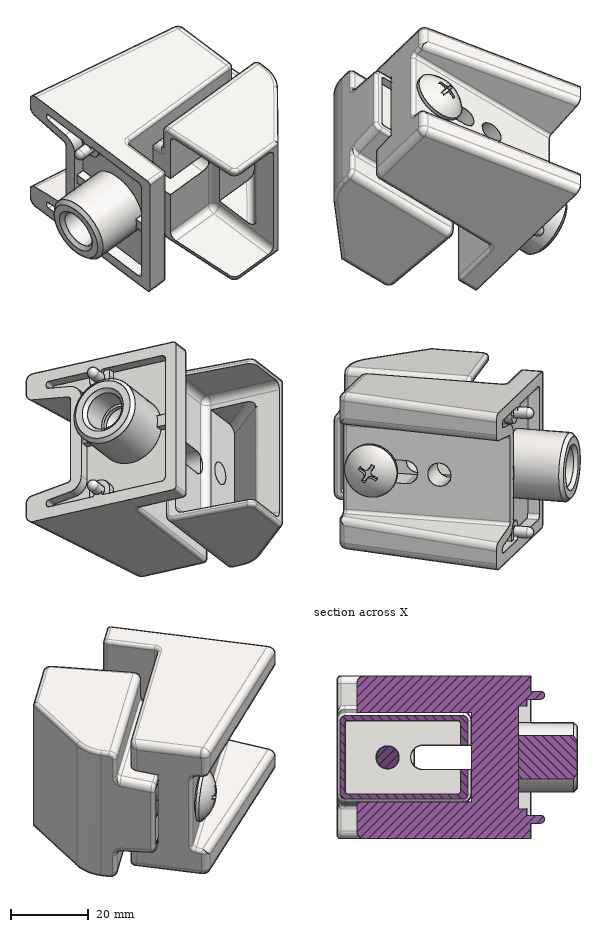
import cadquery as cq
import math


height = 42.0
half_height = height / 2
small_round = 1.0
large_round = 2.0
wall = 3.15
face_margin = 0.05
overcut = 3.1

body_depth = 44.9
body_right = 0.5
front_left = -29.0
rear_left = -20.0
foot_right = 15.0
foot_depth = 6.0
bay_floor = -16.0
bay_half = 12.0
bay_slope = math.tan(math.radians(8))
recess_depth = 3.15
recess_tip = -23.1
recess_corner = 1.25
recess_bend = 3.9
tip_round = 0.85
leg_wall = 2.9
rib_width = 3.15
rib_drop = 1.0

leg_x = (front_left + rear_left) / 2

pin_x = -8.0
pin_z = 16.0
pin_radius = 1.5
pin_length = 4.0
boss_radius = 3.0
pin_neck_round = 0.6

hole_radius = 3.1
hole_y = 19.0
slot_front_y = 27.9
screw_y = 36.95

jaw_left = 3.0
jaw_right = 27.95
jaw_rear = 50.0
jaw_slant_end = 33.6
jaw_slant_start = 11.05
jaw_nose_round = 10.0
jaw_front_left = 16.05
jaw_front_right = 17.9
jaw_front_slope = (jaw_front_right - jaw_front_left) / (jaw_right - jaw_left)
flange = 1.7
plate = 3.0
web_front = 32.0
pocket_half = 16.0
pocket_right = 21.0
tongue_left = -7.0
tongue_half_tip = 11.5
tongue_half_root = 12.45
tongue_rim = 2.05
tongue_recess = 2.0
tongue_window_half = tongue_half_tip - tongue_rim

inner_left = jaw_left + plate
web_left = inner_left + large_round
window_rim = 2.1
window_corner = 0.6

head_radius = 7.0
dome_height = 3.1
head_edge = 0.85
shoulder_radius = 5.1
shoulder_length = 0.6
shank_radius = 3.0
cross_length = 5.35
cross_width = 0.85
cross_depth = 1.55
cross_round = 0.9
cross_turn = 30

bushing_radius = 9.0
bushing_projection = 12.0
thread_radius = 5.0
thread_depth = 8.7
drill_radius = 4.35
drill_depth = 9.9
drill_half_angle = math.radians(59)


def prism_along_y(outline, front, rear):
    """Sweep a closed XZ outline from Y = front to Y = rear."""
    return outline.extrude(front - rear).translate((0, front, 0))


def prism_along_z(corners, half):
    """Sweep an XY polygon from Z = -half to Z = half."""
    return cq.Workplane("XY").polyline(corners).close().extrude(half, both=True)


def cylinder_along_x(radius, y, left, right):
    return cq.Workplane("YZ").center(y, 0).circle(radius).extrude(right - left).translate((left, 0, 0))


def edges_near(solid, points):
    """Select the edge of a solid nearest to each of the points."""
    found = []
    for point in points:
        found += solid.edges(cq.selectors.NearestToPointSelector(point)).vals()
    return solid.newObject(found)


def mirrored(points):
    """Add the mirror image in Z of each point."""
    return points + [(x, y, -z) for x, y, z in points]


def cylinder_along_y(radius, x, z, front, rear):
    return prism_along_y(cq.Workplane("XZ").center(x, z).circle(radius), front, rear)


def bay_half_at(x):
    return bay_half + (bay_floor - x) * bay_slope


def make_bay():
    mouth = front_left - overcut
    outline = cq.Workplane("XZ").polyline(
        [
            (mouth, -bay_half_at(mouth)),
            (bay_floor, -bay_half),
            (bay_floor, bay_half),
            (mouth, bay_half_at(mouth)),
        ]
    ).close()
    bay = prism_along_y(outline, -overcut, body_depth + overcut)
    return bay.edges("|Y and >X").fillet(small_round)


def make_housing_blank():
    """L-shaped block with its outer edges rounded, except around the front and rear faces."""
    blank = prism_along_z(
        [
            (front_left, 0),
            (foot_right, 0),
            (foot_right, foot_depth),
            (body_right, foot_depth),
            (body_right, body_depth),
            (rear_left, body_depth),
        ],
        half_height,
    )
    blank = edges_near(blank, [(body_right, foot_depth, 0)]).fillet(small_round)
    leg_edge = (leg_x, body_depth / 2, half_height)
    blank = edges_near(blank, mirrored([leg_edge])).fillet(large_round)
    right_edges = [
        (foot_right, foot_depth / 2, half_height),
        (body_right, body_depth / 2, half_height),
        ((body_right + foot_right) / 2, foot_depth, half_height),
    ]
    right_edges = mirrored(right_edges) + [(foot_right, foot_depth, 0)]
    return edges_near(blank, right_edges).fillet(small_round)


def make_housing_body():
    """The blank with its bay. Rear edges and leg edges run into each other, so they are rounded on
    two copies whose common part is kept."""
    blank = make_housing_blank()
    bay = make_bay()
    leg_edge = (leg_x, body_depth / 2, bay_half_at(leg_x))
    round_legs = edges_near(blank.cut(bay), mirrored([leg_edge])).fillet(large_round)
    round_rear = blank.faces(">Y").edges().fillet(large_round).cut(bay)
    side_x = bay_floor - small_round
    rim = [(bay_floor, body_depth, 0)] + mirrored([(side_x, body_depth, bay_half_at(side_x))])
    round_rear = edges_near(round_rear, rim).fillet(small_round)
    return round_legs.intersect(round_rear)


def make_recess():
    """Front recess, which follows the outline of the housing and reaches into both legs."""
    left = bay_floor + wall
    right = foot_right - wall
    top = half_height - wall
    tip_inner = bay_half_at(recess_tip) + leg_wall
    bend = bay_half_at(left) + leg_wall
    upper = [(left, bend), (recess_tip, tip_inner), (recess_tip, top), (right, top)]
    lower = [(x, -z) for x, z in reversed(upper)]
    outline = cq.Workplane("XZ").polyline(upper + lower).close()
    recess = prism_along_y(outline, -overcut, recess_depth)
    y = recess_depth / 2
    recess = edges_near(recess, mirrored([(left, y, bend)])).fillet(recess_bend)
    recess = edges_near(recess, mirrored([(right, y, top)])).fillet(recess_corner)
    tips = [(recess_tip, y, tip_inner), (recess_tip, y, top)]
    return edges_near(recess, mirrored(tips)).fillet(tip_round)


def make_ribs():
    length = foot_right - bay_floor - 2 * wall
    bar = cq.Workplane("XY").box(
        length, recess_depth - rib_drop, rib_width, centered=(False, False, True)
    ).translate((bay_floor + wall, rib_drop, 0))
    return bar.cut(cylinder_along_y(bushing_radius, 0, 0, 0, recess_depth))


def make_boss(side):
    """Boss around a pin, widened straight out to the recess wall."""
    boss = cylinder_along_y(boss_radius, pin_x, pin_z, rib_drop, recess_depth)
    reach = half_height - wall - pin_z
    skirt = cq.Workplane("XY").box(
        2 * boss_radius, recess_depth - rib_drop, reach, centered=(True, False, False)
    ).translate((pin_x, rib_drop, pin_z))
    boss = boss.union(skirt)
    return boss if side > 0 else boss.mirror("XY")


def make_pin(side):
    """Round-ended pin with a neck that blends into the recess wall."""
    shaft = cylinder_along_y(pin_radius, pin_x, pin_z, pin_radius - pin_length, recess_depth)
    nose = cq.Workplane("XY").sphere(pin_radius).translate((pin_x, pin_radius - pin_length, pin_z))
    gap = half_height - wall - pin_z
    blend_z = gap - pin_neck_round
    blend_span = pin_radius + pin_neck_round
    blend_x = math.sqrt(blend_span**2 - blend_z**2)
    touch_x = blend_x * pin_radius / blend_span
    touch_z = blend_z * pin_radius / blend_span
    arc_angle = (math.pi / 2 - math.atan2(blend_z, blend_x)) / 2
    arc_x = blend_x - pin_neck_round * math.cos(arc_angle)
    arc_z = blend_z + pin_neck_round * math.sin(arc_angle)
    neck_outline = (
        cq.Workplane("XZ")
        .moveTo(-touch_x, touch_z)
        .threePointArc((-arc_x, arc_z), (-blend_x, gap))
        .lineTo(blend_x, gap)
        .threePointArc((arc_x, arc_z), (touch_x, touch_z))
        .close()
    )
    neck = prism_along_y(neck_outline, 0, recess_depth).translate((pin_x, 0, pin_z))
    pin = shaft.union(nose).union(neck)
    return pin if side > 0 else pin.mirror("XY")


def tongue_profile():
    return cq.Workplane("XZ").polyline(
        [
            (tongue_left, -tongue_half_tip),
            (jaw_left, -tongue_half_root),
            (jaw_left, tongue_half_root),
            (tongue_left, tongue_half_tip),
        ]
    ).close()


def make_housing():
    body = make_housing_body().cut(make_recess()).union(make_ribs())
    for side in (1, -1):
        body = body.union(make_boss(side)).union(make_pin(side))
    guide = prism_along_y(tongue_profile(), jaw_front_at(tongue_left), body_depth + overcut)
    body = body.cut(guide)
    slot = cq.Workplane("YZ").center((slot_front_y + screw_y) / 2, 0).slot2D(
        screw_y - slot_front_y + 2 * hole_radius, 2 * hole_radius
    ).extrude(body_right - bay_floor).translate((bay_floor, 0, 0))
    return body.cut(slot).cut(cylinder_along_x(hole_radius, hole_y, bay_floor, body_right))


def jaw_front_at(x):
    return jaw_front_left + (x - jaw_left) * jaw_front_slope


def make_tongue():
    outline = prism_along_z(
        [
            (tongue_left, jaw_front_at(tongue_left)),
            (jaw_left, jaw_front_left),
            (jaw_left, jaw_rear),
            (tongue_left, jaw_rear),
        ],
        half_height,
    )
    tongue = prism_along_y(tongue_profile(), 0, jaw_rear + overcut).intersect(outline)
    middle_x = (tongue_left + jaw_left) / 2
    middle_half = (tongue_half_tip + tongue_half_root) / 2
    ends = [(middle_x, jaw_front_at(middle_x), middle_half), (middle_x, jaw_rear, middle_half)]
    tongue = edges_near(tongue, mirrored(ends)).fillet(large_round)
    return tongue.faces("<X").edges().fillet(small_round)


def make_jaw_block():
    block = prism_along_z(
        [
            (jaw_left, jaw_front_left),
            (jaw_right, jaw_front_right),
            (jaw_right, jaw_slant_end),
            (jaw_slant_start, jaw_rear),
            (jaw_left, jaw_rear),
        ],
        half_height,
    )
    block = edges_near(block, [(jaw_slant_start, jaw_rear, 0)]).fillet(jaw_nose_round)
    block = edges_near(block, [(jaw_right, jaw_front_right, 0)]).fillet(large_round)
    return block.faces("<X").edges("|Y").fillet(large_round)


def make_mouth():
    """Space between the flanges, open toward the foot of the housing."""
    half = half_height - flange
    length = jaw_right + overcut - inner_left
    mouth = cq.Workplane("XY").box(length, web_front, 2 * half, centered=(False, False, True))
    mouth = mouth.edges("(|X and >Y) or (<X and |Y) or (<X and >Y)").fillet(large_round)
    return mouth.translate((inner_left, 0, 0))


def make_web_pocket():
    """Triangular pocket in the web, with a rounded rim along its sloping wall."""
    tilt = math.atan2(jaw_rear - jaw_slant_end, jaw_right - jaw_slant_start)
    corner_y = web_front + (pocket_right - web_left) * math.tan(tilt)
    lead = overcut / math.tan(tilt)
    pocket = prism_along_z(
        [
            (web_left, web_front - overcut),
            (pocket_right + lead, web_front - overcut),
            (web_left, corner_y),
        ],
        pocket_half,
    )
    middle = ((web_left + pocket_right) / 2, (web_front + corner_y) / 2, pocket_half)
    pocket = edges_near(pocket, mirrored([middle])).fillet(large_round)
    rim_length = small_round * math.tan(tilt / 2)
    rim_x = pocket_right + rim_length
    rim_y = web_front + small_round
    rim = (
        cq.Workplane("XY")
        .moveTo(pocket_right, web_front)
        .lineTo(rim_x, web_front)
        .threePointArc(
            (rim_x - small_round * math.sin(tilt / 2), rim_y - small_round * math.cos(tilt / 2)),
            (rim_x - small_round * math.sin(tilt), rim_y - small_round * math.cos(tilt)),
        )
        .close()
        .extrude(pocket_half - large_round, both=True)
    )
    return pocket.union(rim)


def make_tongue_recess():
    front = jaw_front_left + window_rim
    rear = jaw_rear - window_rim
    recess = cq.Workplane("XY").box(
        tongue_recess, rear - front, 2 * tongue_window_half, centered=(False, False, True)
    )
    return recess.edges("|X").fillet(window_corner).translate((tongue_left, front, 0))


def make_jaw_slot():
    """Slot through tongue and plate, open to the front, so that the holes behind the bay stay clear."""
    length = slot_front_y - jaw_front_left + overcut
    width = inner_left - tongue_left
    slot = cq.Workplane("XY").box(width, length, 2 * hole_radius, centered=(False, False, True))
    slot = slot.translate((tongue_left, slot_front_y - length, 0))
    return slot.union(cylinder_along_x(hole_radius, slot_front_y, tongue_left, inner_left))


def make_jaw():
    """Jaw with its tongue. The blends around the tongue are kept for the lower half and mirrored,
    so that both halves are exactly alike."""
    jaw = make_jaw_block().union(make_tongue())
    root_half = tongue_half_root + overcut
    around_root = cq.selectors.BoxSelector(
        (jaw_left - face_margin, 0, -root_half),
        (jaw_left + face_margin, jaw_rear + face_margin, root_half),
    )
    jaw = jaw.faces("<X[1]").edges(around_root).fillet(small_round)
    lower_space = cq.Workplane("XY").box(
        jaw_right - tongue_left, jaw_rear + overcut, half_height, centered=False
    ).translate((tongue_left, 0, -half_height))
    lower_half = jaw.intersect(lower_space)
    jaw = lower_half.union(lower_half.mirror("XY"))
    jaw = jaw.cut(make_mouth()).cut(make_web_pocket())
    screw_hole = cylinder_along_x(shank_radius, screw_y, tongue_left, web_left)
    return jaw.cut(make_tongue_recess()).cut(make_jaw_slot()).cut(screw_hole)


def make_cross():
    """Driver recess, cut from the top of the head."""
    bar = cq.Workplane("YZ").rect(cross_length, cross_width).extrude(cross_depth)
    cross = bar.union(bar.rotate((0, 0, 0), (1, 0, 0), 90))
    half = cross_width / 2
    inner = [(cross_depth / 2, y, z) for y in (half, -half) for z in (half, -half)]
    cross = edges_near(cross, inner).fillet(cross_round)
    return cross.rotate((0, 0, 0), (1, 0, 0), cross_turn)


def make_screw():
    head_base = bay_floor - shoulder_length
    edge = head_base - head_edge
    top = edge - dome_height
    sphere_radius = (head_radius**2 + dome_height**2) / (2 * dome_height)
    dome_x = top + sphere_radius * (1 - math.cos(math.asin(head_radius / sphere_radius) / 2))
    dome_r = sphere_radius * math.sin(math.asin(head_radius / sphere_radius) / 2)
    profile = (
        cq.Workplane("XY")
        .moveTo(top, 0)
        .threePointArc((dome_x, dome_r), (edge, head_radius))
        .lineTo(head_base, head_radius)
        .lineTo(head_base, shoulder_radius)
        .lineTo(bay_floor, shoulder_radius)
        .lineTo(bay_floor, shank_radius)
        .lineTo(web_left, shank_radius)
        .lineTo(web_left, 0)
        .close()
    )
    screw = profile.revolve(360, (0, 0, 0), (1, 0, 0))
    return screw.cut(make_cross().translate((top, 0, 0))).translate((0, screw_y, 0))


def make_bushing():
    front = -bushing_projection
    drill_end = front + drill_depth
    bushing = cylinder_along_y(bushing_radius, 0, 0, front, recess_depth)
    bushing = bushing.faces("<Y").edges().chamfer(small_round)
    bore = (
        cq.Workplane("XY")
        .moveTo(0, front)
        .lineTo(thread_radius + small_round, front)
        .lineTo(thread_radius, front + small_round)
        .lineTo(thread_radius, front + thread_depth)
        .lineTo(drill_radius, front + thread_depth)
        .lineTo(drill_radius, drill_end)
        .lineTo(0, drill_end + drill_radius / math.tan(drill_half_angle))
        .close()
        .revolve(360, (0, 0, 0), (0, 1, 0))
    )
    return bushing.cut(bore)


housing = make_housing()
jaw = make_jaw()
screw = make_screw()
bushing = make_bushing()

bodies = [housing, jaw, screw, bushing]
result = cq.Compound.makeCompound([body.solids().val() for body in bodies])